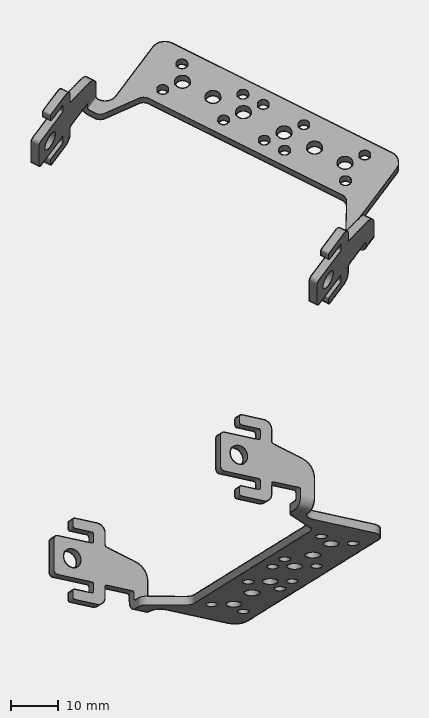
import cadquery as cq
import math


overall_width = 70.5
sheet = 2.0
bend_inner_radius = 0.5
bend_outer_radius = bend_inner_radius + sheet
ear_outer_x = overall_width / 2
bend_start_x = ear_outer_x - bend_outer_radius

plate_half_width = 30.0
plate_front_y = -14.8
plate_corner_radius = 3.0
arm_rear_y = -20.5
arm_front_y = -23.9
arm_corner_x = 30.25
arm_slope = math.radians(60)
arm_corner_radius = 2.0
arm_root_x = arm_corner_x - (plate_front_y - arm_front_y) / math.tan(arm_slope)
arm_rear_radius = 2.7

hole_pitch = 5.0
row_spacing = 3.9
middle_row_y = plate_front_y / 2
small_hole_diameter = 2.5
large_hole_diameter = 3.3
rear_row = (-4.5, -1.5, -0.5, 1.5, 4.5)
middle_row = (-4, -2.5, -1, 1, 2.5, 4)
front_row = (-4.5, -1.5, 0.5, 1.5, 4.5)

pivot_z = 8.5
pivot_y = -39.0
pivot_diameter = 4.2
ear_height = 18.4
prong = 2.3
slot = 2.5
prong_top = ear_height / 2
slot_top = prong_top - prong
tongue_top = slot_top - slot
spine_rear_y = -30.95
slot_end_y = -33.8
prong_tip_y = -38.85
tongue_tip_y = -43.5
shoulder_rise = 4.3
shoulder_slope = math.radians(15)
shoulder_rear_rise = shoulder_rise - (arm_rear_y - spine_rear_y) * math.tan(shoulder_slope)
shoulder_radius = 4.0
spine_radius = 2.0
tongue_radius = 1.0
small_radius = 0.5


def rounded_outline(plane, corners):
    """Closed outline through (u, v, radius) corners; radius 0 leaves a corner sharp."""
    outline = None
    for i, (u, v, radius) in enumerate(corners):
        corner = cq.Vector(u, v)
        before = corners[i - 1]
        after = corners[(i + 1) % len(corners)]
        to_before = (cq.Vector(before[0], before[1]) - corner).normalized()
        to_after = (cq.Vector(after[0], after[1]) - corner).normalized()
        half_angle = to_before.getAngle(to_after) / 2
        setback = radius / math.tan(half_angle)
        start = corner + to_before * setback
        if outline is None:
            outline = cq.Workplane(plane).moveTo(start.x, start.y)
        else:
            outline = outline.lineTo(start.x, start.y)
        if radius > 0:
            bisector = (to_before + to_after).normalized()
            middle = corner + bisector * (radius / math.sin(half_angle) - radius)
            end = corner + to_after * setback
            outline = outline.threePointArc((middle.x, middle.y), (end.x, end.y))
    return outline.close()


def make_plate():
    right_side = [
        (plate_half_width, 0, plate_corner_radius),
        (plate_half_width, arm_rear_y, arm_rear_radius),
        (bend_start_x, arm_rear_y, 0),
        (bend_start_x, arm_front_y, 0),
        (arm_corner_x, arm_front_y, arm_corner_radius),
        (arm_root_x, plate_front_y, arm_corner_radius),
    ]
    left_side = [(-x, y, radius) for x, y, radius in reversed(right_side)]
    return rounded_outline("XY", right_side + left_side).extrude(sheet)


def hole_row(places, y, diameter):
    centres = [(place * hole_pitch, y) for place in places]
    return cq.Workplane("XY").pushPoints(centres).circle(diameter / 2).extrude(sheet)


def make_bend():
    """Quarter-round bend joining the right arm to the right ear."""
    diagonal = math.sqrt(0.5)
    centre_x = bend_start_x
    centre_z = bend_outer_radius
    outer_middle = (centre_x + bend_outer_radius * diagonal, centre_z - bend_outer_radius * diagonal)
    inner_middle = (centre_x + bend_inner_radius * diagonal, centre_z - bend_inner_radius * diagonal)
    return (
        cq.Workplane("XZ", origin=(0, arm_rear_y, 0))
        .moveTo(centre_x, 0)
        .threePointArc(outer_middle, (ear_outer_x, centre_z))
        .lineTo(ear_outer_x - sheet, centre_z)
        .threePointArc(inner_middle, (centre_x, sheet))
        .close()
        .extrude(arm_rear_y - arm_front_y)
    )


def make_ear():
    """Right ear: shoulder above the bend, two prongs and a tongue with the pivot hole."""
    bend_top = bend_outer_radius - pivot_z
    upper_fork = [
        (spine_rear_y, prong_top, spine_radius),
        (prong_tip_y, prong_top, small_radius),
        (prong_tip_y, slot_top, small_radius),
        (slot_end_y, slot_top, small_radius),
        (slot_end_y, tongue_top, small_radius),
        (tongue_tip_y, tongue_top, tongue_radius),
    ]
    lower_fork = [(y, -z, radius) for y, z, radius in reversed(upper_fork)]
    shoulder_front = [(spine_rear_y, shoulder_rise, small_radius)]
    foot = [
        (spine_rear_y, -tongue_top, small_radius),
        (arm_front_y, -tongue_top, small_radius),
        (arm_front_y, bend_top, 0),
        (arm_rear_y, bend_top, 0),
        (arm_rear_y, shoulder_rear_rise, shoulder_radius),
    ]
    blank = rounded_outline("YZ", shoulder_front + upper_fork + lower_fork + foot).extrude(sheet)
    pivot_hole = cq.Workplane("YZ").center(pivot_y, 0).circle(pivot_diameter / 2).extrude(sheet)
    return blank.cut(pivot_hole).translate((ear_outer_x - sheet, 0, pivot_z))


plate = (
    make_plate()
    .cut(hole_row(rear_row, middle_row_y + row_spacing, small_hole_diameter))
    .cut(hole_row(middle_row, middle_row_y, large_hole_diameter))
    .cut(hole_row(front_row, middle_row_y - row_spacing, small_hole_diameter))
)
right_flange = make_bend().union(make_ear())
left_flange = right_flange.mirror("YZ")

result = plate.union(right_flange).union(left_flange)